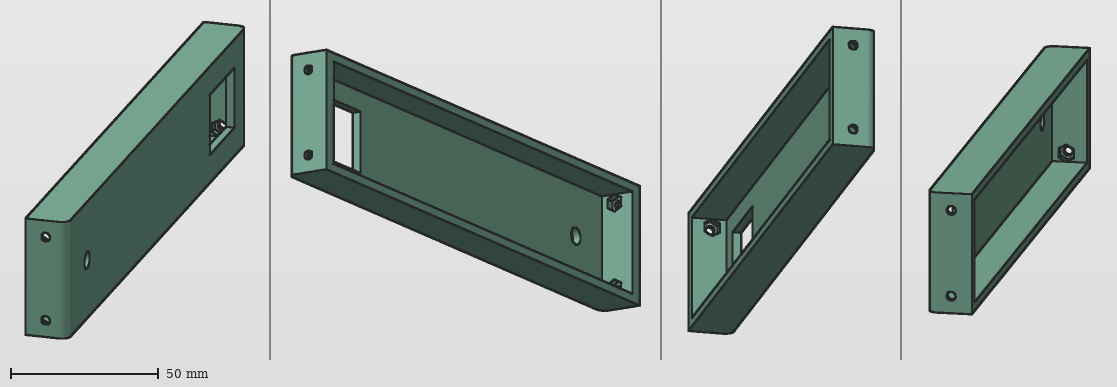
import cadquery as cq
import math

depth = 15.0
length = 204.0
height = 42.0
side_wall = 3.0
end_wall = 4.9
panel_thickness = 3.0
edge_radius = 3.0

window_length = 28.2
window_height = 21.6
window_end_gap = 13.7

panel_hole_diameter = 6.0
panel_hole_end_distance = 21.8

screw_diameter = 3.0
nut_across_flats = 5.3
nut_pocket_depth = 3.0
screw_spacing = 30.0
screw_rim_distance = 7.1

pocket_depth = depth - panel_thickness
pocket_length = length - 2 * end_wall
pocket_height = height - 2 * side_wall


def make_tray():
    """Block with rounded panel ends, hollowed from the -X side."""
    block = cq.Workplane("XY").box(depth, length, height, centered=(False, True, True))
    block = block.edges(">X and |Z").fillet(edge_radius)
    pocket = cq.Workplane("XY").box(
        pocket_depth, pocket_length, pocket_height, centered=(False, True, True)
    )
    return block.cut(pocket)


def cut_panel_openings(tray):
    """Cut the window and the round hole through the panel."""
    window_y = length / 2 - window_end_gap - window_length / 2
    hole_y = -length / 2 + panel_hole_end_distance
    window = cq.Workplane("YZ").center(window_y, 0).rect(window_length, window_height).extrude(depth)
    hole = cq.Workplane("YZ").center(hole_y, 0).circle(panel_hole_diameter / 2).extrude(depth)
    return tray.cut(window).cut(hole)


def cut_screw_holes(tray):
    """Cut a pair of screw holes with nut pockets in each end wall."""
    nut_across_corners = nut_across_flats / math.cos(math.pi / 6)
    for outward in (-1, 1):
        for side in (-1, 1):
            wall_face = cq.Plane(
                origin=(screw_rim_distance, outward * pocket_length / 2, side * screw_spacing / 2),
                xDir=(0, 0, 1),
                normal=(0, outward, 0),
            )
            screw_hole = cq.Workplane(wall_face).circle(screw_diameter / 2).extrude(end_wall)
            nut_pocket = cq.Workplane(wall_face).polygon(6, nut_across_corners).extrude(nut_pocket_depth)
            tray = tray.cut(screw_hole).cut(nut_pocket)
    return tray


result = cut_screw_holes(cut_panel_openings(make_tray()))